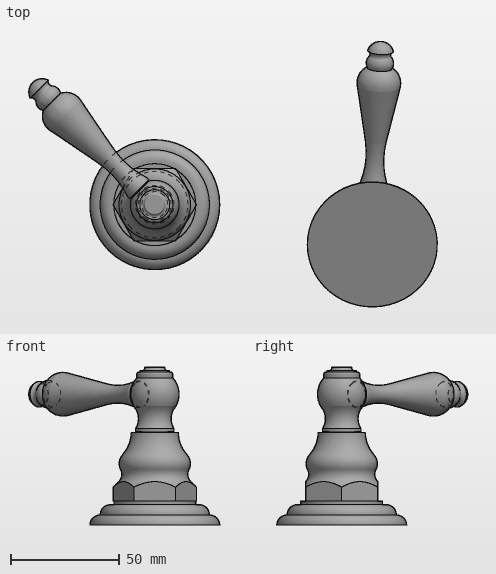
import cadquery as cq
import math

FULL_TURN = 360
TURNING_AXIS = ((0, 0), (0, 1))

TIER_HEIGHT = 4.763
LOWER_TIER_RADIUS = 30.0
UPPER_TIER_RADIUS = LOWER_TIER_RADIUS - TIER_HEIGHT
BASE_HEIGHT = 2 * TIER_HEIGHT
WASHER_RADIUS = 18.9
NUT_BOTTOM = 11.113

NUT_ACROSS_FLATS = 33.338
NUT_CORNER_RADIUS = NUT_ACROSS_FLATS / math.sqrt(3)
NUT_TOP = 20.4
NUT_TOP_RADIUS = 16.4
NUT_CORNER_TOP = NUT_TOP - (NUT_CORNER_RADIUS - NUT_TOP_RADIUS)

WAIST_RADIUS = 15.3
WAIST_Z = 23.3
BEAD_BOTTOM_RADIUS = 15.8
BEAD_BOTTOM = 25.6
BEAD_RADIUS = 16.5
BEAD_Z = 28.5
BEAD_ARC = 5.6
FLANK_ARC = 13.6
BELL_RIM_RADIUS = 11.0
BELL_RIM_ROUND = 0.6
BELL_TOP = 42.86

STEM_RADIUS = 6.0
HUB_BOTTOM = 43.1

FOOT_RADIUS = 8.95
FOOT_TOP = 44.5
NECK_RADIUS = 7.6
NECK_Z = 48.8
BALL_RADIUS = 11.25
BALL_Z = 60.4
BALL_BOTTOM = 54.8
HEAD_RADIUS = 8.35
HEAD_ROUND_START = 69.55
HEAD_ROUND = 1.1
CAP_RADIUS = 6.9
CAP_TOP = 71.3
BUTTON_FLARE_RADIUS = 5.95
BUTTON_FLARE = 1.3
BUTTON_TOP = 72.95
BUTTON_ROUND = BUTTON_TOP - CAP_TOP - BUTTON_FLARE

COLLAR_RADIUS = 6.2
COLLAR_START = 10.07
COLLAR_END = 11.5
LEVER_ROOT_RADIUS = 5.9
GRIP_WAIST_RADIUS = 4.15
GRIP_WAIST_AT = 24.3
GRIP_WAIST_ARC = 39.0
BULB_RADIUS = 10.15
BULB_AT = 59.9
BULB_ARC = 8.0
BULB_END = 67.05
FINIAL_RING_RADIUS = 6.4
FINIAL_RING_AT = 69.6
FINIAL_RING_END_RADIUS = 5.5
FINIAL_RING_END = 71.95
FINIAL_GROOVE_RADIUS = 4.85
FINIAL_GROOVE_AT = 73.7
TIP_RADIUS = 6.25
TIP_END = 79.64
TIP_START = 75.3


def polar(center, radius, angle):
    return (center[0] + radius * math.cos(angle), center[1] + radius * math.sin(angle))


def quarter_round(profile, center, start, end, size):
    """Add a quarter arc of the given size about a center, between two angles in degrees."""
    middle = math.radians((start + end) / 2)
    return profile.threePointArc(polar(center, size, middle), polar(center, size, math.radians(end)))


def circle_radius_at(center, radius, along):
    """Distance from the turning axis of a circle's outer side, at a place along that axis."""
    return center[0] + math.sqrt(radius**2 - (along - center[1]) ** 2)


def cross_tangent(bulge_center, bulge_arc, hollow_center, hollow_arc):
    """Points where a straight flank touches a bulge and the hollow farther from the axis."""
    across = hollow_center[0] - bulge_center[0]
    along = hollow_center[1] - bulge_center[1]
    side = math.copysign(1, along)
    spread = math.acos((bulge_arc + hollow_arc) / math.hypot(across, along))
    angle = math.atan2(along, across) - side * spread
    return (
        polar(bulge_center, bulge_arc, angle),
        polar(hollow_center, hollow_arc, angle + math.pi),
    )


def make_base():
    profile = cq.Workplane("XZ").lineTo(LOWER_TIER_RADIUS, 0)
    profile = quarter_round(profile, (UPPER_TIER_RADIUS, 0), 0, 90, TIER_HEIGHT)
    upper_center = (UPPER_TIER_RADIUS - TIER_HEIGHT, TIER_HEIGHT)
    profile = quarter_round(profile, upper_center, 0, 90, TIER_HEIGHT)
    profile = (
        profile.lineTo(WASHER_RADIUS, BASE_HEIGHT)
        .lineTo(WASHER_RADIUS, NUT_BOTTOM)
        .lineTo(0, NUT_BOTTOM)
        .close()
    )
    return profile.revolve(FULL_TURN, *TURNING_AXIS)


def make_nut():
    hexagon = (
        cq.Workplane("XY", origin=(0, 0, NUT_BOTTOM))
        .polygon(6, 2 * NUT_CORNER_RADIUS)
        .extrude(NUT_TOP - NUT_BOTTOM)
    )
    cone = (
        cq.Workplane("XZ")
        .moveTo(0, NUT_BOTTOM)
        .lineTo(NUT_CORNER_RADIUS, NUT_BOTTOM)
        .lineTo(NUT_CORNER_RADIUS, NUT_CORNER_TOP)
        .lineTo(NUT_TOP_RADIUS, NUT_TOP)
        .lineTo(0, NUT_TOP)
        .close()
        .revolve(FULL_TURN, *TURNING_AXIS)
    )
    return hexagon.intersect(cone)


def make_bell():
    rim_z = BELL_TOP - BELL_RIM_ROUND
    bead_center = (BEAD_RADIUS - BEAD_ARC, BEAD_Z)
    flank_center = (BELL_RIM_RADIUS + FLANK_ARC, rim_z)
    bead_end, flank_start = cross_tangent(bead_center, BEAD_ARC, flank_center, FLANK_ARC)
    flank_angle = math.atan2(flank_start[1] - rim_z, flank_start[0] - flank_center[0])
    flank_middle = polar(flank_center, FLANK_ARC, (flank_angle % (2 * math.pi) + math.pi) / 2)
    profile = (
        cq.Workplane("XZ")
        .moveTo(0, NUT_TOP)
        .lineTo(NUT_TOP_RADIUS, NUT_TOP)
        .threePointArc((WAIST_RADIUS, WAIST_Z), (BEAD_BOTTOM_RADIUS, BEAD_BOTTOM))
        .threePointArc((BEAD_RADIUS, BEAD_Z), bead_end)
        .lineTo(*flank_start)
        .threePointArc(flank_middle, (BELL_RIM_RADIUS, rim_z))
    )
    profile = quarter_round(profile, (BELL_RIM_RADIUS - BELL_RIM_ROUND, rim_z), 0, 90, BELL_RIM_ROUND)
    return profile.lineTo(0, BELL_TOP).close().revolve(FULL_TURN, *TURNING_AXIS)


def make_stem():
    return cq.Workplane("XY", origin=(0, 0, BELL_TOP)).circle(STEM_RADIUS).extrude(HUB_BOTTOM - BELL_TOP)


def make_hub():
    ball_center = (0, BALL_Z)
    ball_top = BALL_Z + math.sqrt(BALL_RADIUS**2 - HEAD_RADIUS**2)
    head_center = (HEAD_RADIUS - HEAD_ROUND, HEAD_ROUND_START)
    flare_center = (BUTTON_FLARE_RADIUS, CAP_TOP + BUTTON_FLARE)
    button_radius = BUTTON_FLARE_RADIUS - BUTTON_FLARE
    button_center = (button_radius - BUTTON_ROUND, BUTTON_TOP - BUTTON_ROUND)
    profile = (
        cq.Workplane("XZ")
        .moveTo(0, HUB_BOTTOM)
        .lineTo(FOOT_RADIUS, HUB_BOTTOM)
        .lineTo(FOOT_RADIUS, FOOT_TOP)
        .threePointArc(
            (NECK_RADIUS, NECK_Z),
            (circle_radius_at(ball_center, BALL_RADIUS, BALL_BOTTOM), BALL_BOTTOM),
        )
        .threePointArc((BALL_RADIUS, BALL_Z), (HEAD_RADIUS, ball_top))
        .lineTo(HEAD_RADIUS, HEAD_ROUND_START)
    )
    profile = quarter_round(profile, head_center, 0, 90, HEAD_ROUND)
    profile = (
        profile.lineTo(CAP_RADIUS, HEAD_ROUND_START + HEAD_ROUND)
        .lineTo(CAP_RADIUS, CAP_TOP)
        .lineTo(BUTTON_FLARE_RADIUS, CAP_TOP)
    )
    profile = quarter_round(profile, flare_center, 270, 180, BUTTON_FLARE)
    profile = quarter_round(profile, button_center, 0, 90, BUTTON_ROUND)
    return profile.lineTo(0, BUTTON_TOP).close().revolve(FULL_TURN, *TURNING_AXIS)


def make_lever():
    bulb_center = (BULB_RADIUS - BULB_ARC, BULB_AT)
    waist_center = (GRIP_WAIST_RADIUS + GRIP_WAIST_ARC, GRIP_WAIST_AT)
    bulb_start, grip_end = cross_tangent(bulb_center, BULB_ARC, waist_center, GRIP_WAIST_ARC)
    bulb_end = (circle_radius_at(bulb_center, BULB_ARC, BULB_END), BULB_END)
    tip_center = (0, TIP_END - TIP_RADIUS)
    tip_start = (circle_radius_at(tip_center, TIP_RADIUS, TIP_START), TIP_START)
    lever_plane = cq.Plane(origin=(0, 0, BALL_Z), xDir=(0, 0, 1), normal=(-1, -1, 0))
    return (
        cq.Workplane(lever_plane)
        .lineTo(LEVER_ROOT_RADIUS, 0)
        .lineTo(LEVER_ROOT_RADIUS, COLLAR_START)
        .lineTo(COLLAR_RADIUS, COLLAR_START)
        .lineTo(COLLAR_RADIUS, COLLAR_END)
        .threePointArc((GRIP_WAIST_RADIUS, GRIP_WAIST_AT), grip_end)
        .lineTo(*bulb_start)
        .threePointArc((BULB_RADIUS, BULB_AT), bulb_end)
        .threePointArc(
            (FINIAL_RING_RADIUS, FINIAL_RING_AT),
            (FINIAL_RING_END_RADIUS, FINIAL_RING_END),
        )
        .threePointArc((FINIAL_GROOVE_RADIUS, FINIAL_GROOVE_AT), tip_start)
        .threePointArc(polar(tip_center, TIP_RADIUS, math.pi / 4), (0, TIP_END))
        .close()
        .revolve(FULL_TURN, *TURNING_AXIS)
    )


result = (
    make_base()
    .union(make_nut())
    .union(make_bell())
    .union(make_stem())
    .union(make_hub())
    .union(make_lever())
)